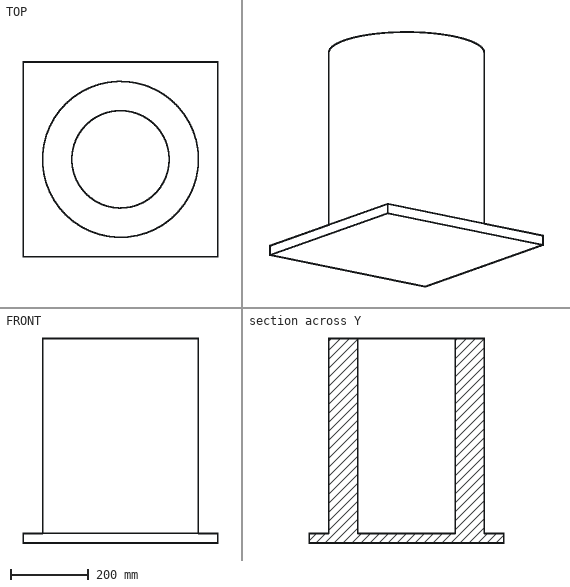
import cadquery as cq

total_height = 525.0
plate_side = 500.0
plate_thickness = 25.0
tube_outer_diameter = 400.0
tube_bore_diameter = 250.0
tube_height = total_height - plate_thickness

plate = cq.Workplane("XY").box(
    plate_side, plate_side, plate_thickness, centered=(True, True, False)
)

tube = (
    cq.Workplane("XY")
    .workplane(offset=plate_thickness)
    .circle(tube_outer_diameter / 2)
    .circle(tube_bore_diameter / 2)
    .extrude(tube_height)
)

result = plate.union(tube)